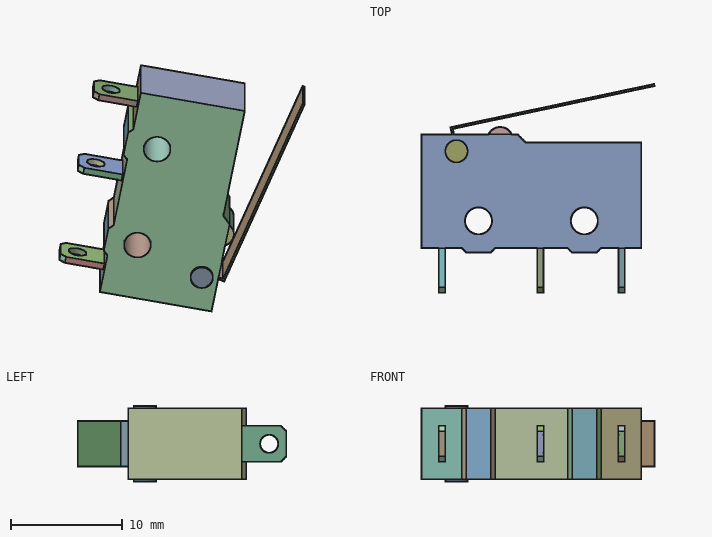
import cadquery as cq
import math

body_length = 19.75
body_height = 10.2
body_thickness = 6.4
low_top_height = 9.5
step_start = 8.65
step_drop = body_height - low_top_height

hole_diameter = 2.4
hole_spacing = 9.5
hole_height = 2.45
hole_positions = [
    body_length / 2 - hole_spacing / 2,
    body_length / 2 + hole_spacing / 2,
]
foot_root_width = 3.0
foot_tip_width = 2.2
foot_height = 0.4

pin_diameter = 2.0
pin_length = 6.8
pin_x = 3.15
pin_y = 8.7

terminal_positions = [1.85, 10.68, 17.97]
terminal_thickness = 0.6
terminal_width = 3.25
terminal_length = 4.0
terminal_chamfer = 0.5
terminal_hole_diameter = 1.6
terminal_hole_drop = 2.45

plunger_x = 7.07
plunger_width = 2.1
plunger_rise = 0.68
plunger_depth = 4.1

lever_angle = 12.0
lever_width = 4.1
lever_thickness = 0.2
lever_arm_length = 18.7
lever_leg_length = 1.0
lever_corner_x = 2.6
lever_tip_y = 14.74
lever_corner_y = lever_tip_y - lever_arm_length * math.sin(math.radians(lever_angle))


def make_housing():
    outline = [
        (0, 0),
        (body_length, 0),
        (body_length, low_top_height),
        (step_start + step_drop, low_top_height),
        (step_start, body_height),
        (0, body_height),
    ]
    housing = cq.Workplane("XY").polyline(outline).close().extrude(body_thickness / 2, both=True)
    for x in hole_positions:
        housing = housing.union(make_foot(x))
    holes = (
        cq.Workplane("XY")
        .pushPoints([(x, hole_height) for x in hole_positions])
        .circle(hole_diameter / 2)
        .extrude(body_thickness / 2, both=True)
    )
    return housing.cut(holes)


def make_foot(x):
    outline = [
        (x - foot_root_width / 2, 0),
        (x - foot_tip_width / 2, -foot_height),
        (x + foot_tip_width / 2, -foot_height),
        (x + foot_root_width / 2, 0),
    ]
    return cq.Workplane("XY").polyline(outline).close().extrude(body_thickness / 2, both=True)


def make_pin():
    return (
        cq.Workplane("XY")
        .center(pin_x, pin_y)
        .circle(pin_diameter / 2)
        .extrude(pin_length / 2, both=True)
    )


def make_terminal(x):
    blade = (
        cq.Workplane("XY")
        .box(terminal_thickness, terminal_length, terminal_width)
        .translate((x, -terminal_length / 2, 0))
        .faces("<Y")
        .edges("|X")
        .chamfer(terminal_chamfer)
    )
    eye = (
        cq.Workplane("YZ", origin=(x, -terminal_hole_drop, 0))
        .circle(terminal_hole_diameter / 2)
        .extrude(terminal_thickness, both=True)
    )
    return blade.cut(eye)


def make_plunger():
    return (
        cq.Workplane("XY")
        .moveTo(plunger_x - plunger_width / 2, body_height)
        .threePointArc(
            (plunger_x, body_height + plunger_rise),
            (plunger_x + plunger_width / 2, body_height),
        )
        .close()
        .extrude(plunger_depth / 2, both=True)
    )


def make_lever():
    outline = [
        (0, 0),
        (lever_arm_length, 0),
        (lever_arm_length, -lever_thickness),
        (lever_thickness, -lever_thickness),
        (lever_thickness, -lever_leg_length),
        (0, -lever_leg_length),
    ]
    return (
        cq.Workplane("XY")
        .polyline(outline)
        .close()
        .extrude(lever_width / 2, both=True)
        .rotate((0, 0, 0), (0, 0, 1), lever_angle)
        .translate((lever_corner_x, lever_corner_y, 0))
    )


result = make_housing().union(make_pin()).union(make_plunger()).union(make_lever())
for terminal_x in terminal_positions:
    result = result.union(make_terminal(terminal_x))